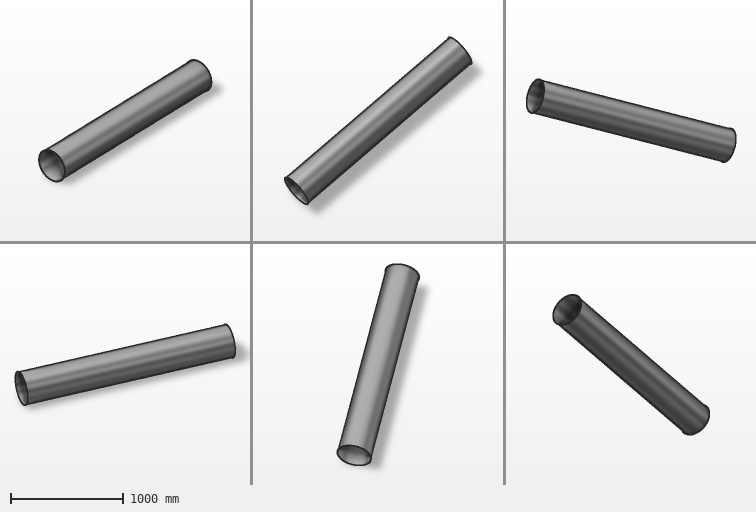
import cadquery as cq

length = 1988.0
bore_diameter = 298.0
tube_diameter = 302.0
flange_diameter = 315.0
flange_thickness = 2.0


def cylinder_along_y(diameter, start, height):
    """Solid cylinder running toward +Y from the plane Y = start."""
    plane = cq.Plane(origin=(0, start, 0), xDir=(1, 0, 0), normal=(0, 1, 0))
    return cq.Workplane(plane).circle(diameter / 2).extrude(height)


result = cylinder_along_y(tube_diameter, -length / 2, length)

for flange_start in (-length / 2, length / 2 - flange_thickness):
    result = result.union(cylinder_along_y(flange_diameter, flange_start, flange_thickness))

result = result.cut(cylinder_along_y(bore_diameter, -length / 2, length))